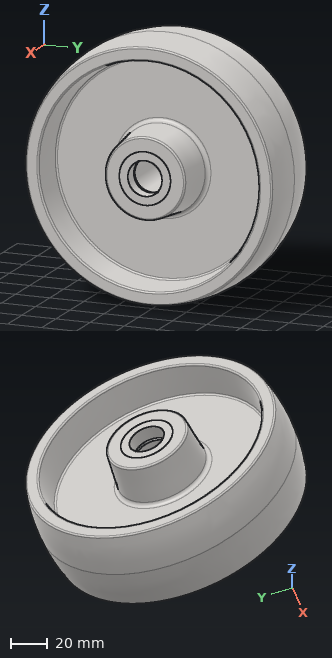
import cadquery as cq
import math

WHEEL_RADIUS = 75.0
RIM_WIDTH = 50.0
HUB_WIDTH = 60.0
WEB_THICKNESS = 10.0
TREAD_CROWN_RADIUS = 106.0
RIM_MOUTH_RADIUS = 64.5
HUB_END_RADIUS = 23.3
DRAFT_ANGLE = 6.0
EDGE_FILLET = 1.0
HUB_ROOT_FILLET = 2.5

HUB_BORE_RADIUS = 15.0
AXLE_HOLE_RADIUS = 10.0
BUSH_LENGTH = 8.5
SPACER_GAP = 1.5

HALF_RIM = RIM_WIDTH / 2
HALF_HUB = HUB_WIDTH / 2
HALF_WEB = WEB_THICKNESS / 2
SPACER_LENGTH = HUB_WIDTH - 2 * (BUSH_LENGTH + SPACER_GAP)

DRAFT_SLOPE = math.tan(math.radians(DRAFT_ANGLE))
RIM_ROOT_RADIUS = RIM_MOUTH_RADIUS - (HALF_RIM - HALF_WEB) * DRAFT_SLOPE
HUB_ROOT_RADIUS = HUB_END_RADIUS + (HALF_HUB - HALF_WEB) * DRAFT_SLOPE


def crown_radius(x):
    """Wheel radius at position x across the crowned tread."""
    return WHEEL_RADIUS - TREAD_CROWN_RADIUS + math.sqrt(TREAD_CROWN_RADIUS**2 - x**2)


def make_half_wheel():
    """The -X half of the wheel: crowned rim, flat web and tapered hub around the bore."""
    tread_edge_radius = crown_radius(HALF_RIM)
    tread_middle = (-HALF_RIM / 2, crown_radius(HALF_RIM / 2))
    half = (
        cq.Workplane("XY")
        .moveTo(0, HUB_BORE_RADIUS)
        .lineTo(-HALF_HUB, HUB_BORE_RADIUS)
        .lineTo(-HALF_HUB, HUB_END_RADIUS)
        .lineTo(-HALF_WEB, HUB_ROOT_RADIUS)
        .lineTo(-HALF_WEB, RIM_ROOT_RADIUS)
        .lineTo(-HALF_RIM, RIM_MOUTH_RADIUS)
        .lineTo(-HALF_RIM, tread_edge_radius)
        .threePointArc(tread_middle, (0, WHEEL_RADIUS))
        .close()
        .revolve(360, (0, 0, 0), (1, 0, 0))
    )
    half = round_edge(half, -HALF_HUB, HUB_END_RADIUS, EDGE_FILLET)
    half = round_edge(half, -HALF_WEB, HUB_ROOT_RADIUS, HUB_ROOT_FILLET)
    half = round_edge(half, -HALF_WEB, RIM_ROOT_RADIUS, EDGE_FILLET)
    half = round_edge(half, -HALF_RIM, RIM_MOUTH_RADIUS, EDGE_FILLET)
    return round_edge(half, -HALF_RIM, tread_edge_radius, EDGE_FILLET)


def round_edge(body, x, edge_radius, fillet_radius):
    """Fillet the circular edge of the given radius in the plane X = x."""
    tolerance = 0.01
    box_min = (x - tolerance, -edge_radius - tolerance, -edge_radius - tolerance)
    box_max = (x + tolerance, edge_radius + tolerance, edge_radius + tolerance)
    in_plane = cq.selectors.BoxSelector(box_min, box_max, boundingbox=True)
    outermost = cq.selectors.RadiusNthSelector(-1)
    return body.edges(in_plane).edges("%CIRCLE").edges(outermost).fillet(fillet_radius)


def make_wheel():
    """Whole wheel, joined from its two mirrored halves."""
    half = make_half_wheel()
    return half.union(half.mirror("YZ"), clean=False)


def make_sleeve(start_x, length):
    """Plain sleeve that fills the hub bore and leaves the axle hole."""
    return (
        cq.Workplane("YZ", origin=(start_x, 0, 0))
        .circle(HUB_BORE_RADIUS)
        .circle(AXLE_HOLE_RADIUS)
        .extrude(length)
    )


def make_bush(start_x):
    return make_sleeve(start_x, BUSH_LENGTH)


def make_spacer():
    return make_sleeve(-SPACER_LENGTH / 2, SPACER_LENGTH)


wheel = make_wheel()
bushes = [make_bush(start_x) for start_x in (-HALF_HUB, HALF_HUB - BUSH_LENGTH)]
spacer = make_spacer()

result = cq.Compound.makeCompound([wheel.val(), *[bush.val() for bush in bushes], spacer.val()])